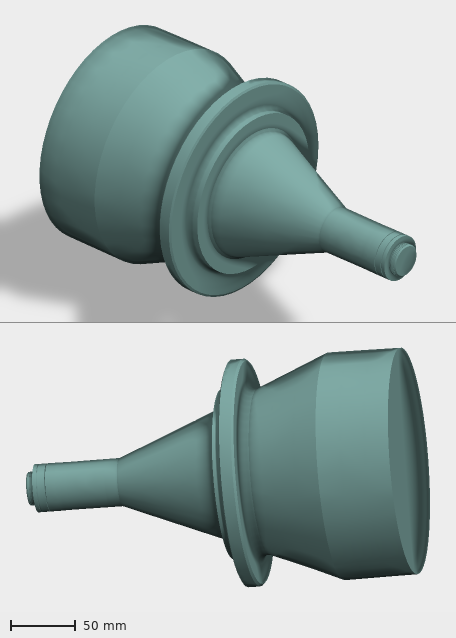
import cadquery as cq


total_length = 298.6
flange_diameter = 176.5
flange_radius = flange_diameter / 2

drum_end_radius = 87.8
drum_length = 56.7
neck_start_x = 113.8
neck_radius = 64.5

flange_back_x = 121.5
flange_front_x = 133.5
flange_chamfer = 1.8
front_chamfer_length = 1.0
rear_fillet_radius = 6.0
front_fillet_radius = 3.5
hub_end_x = 142.5
hub_radius = 66.0

cone_foot_radius = 53.8
cone_start_x = 144.2
cone_start_radius = 51.7
shaft_start_x = 226.0
shaft_diameter = 37.3
shaft_radius = shaft_diameter / 2
land_end_x = 236.0
waist_x = 265.8
waist_radius = 18.5
insulator_end_x = 274.8

ring_end_x = 282.5

ring_gap = 0.5
collar_groove_x = 288.8
collar_groove_width = 1.0
collar_groove_depth = 0.5
collar_end_x = 292.7

plug_radius = 13.0
plug_chamfer = 1.0
plug_groove_lead = 0.5
plug_groove_count = 4
plug_groove_pitch = 1.2
plug_groove_width = 0.5
plug_groove_depth = 0.5


def round_bar(start_x, end_x, radius):
    """Plain cylinder on the X axis between two stations."""
    return cq.Workplane("YZ", origin=(start_x, 0, 0)).circle(radius).extrude(end_x - start_x)


def ring_groove(start_x, width, depth, outer_radius):
    """Ring-shaped cutter for a square groove in a round surface."""
    cutter = cq.Workplane("YZ", origin=(start_x, 0, 0))
    return cutter.circle(2 * outer_radius).circle(outer_radius - depth).extrude(width)


def make_insulator():
    """Drum, cones, filleted flange and shaft as one moulded body."""
    rear_centre_x = flange_back_x - rear_fillet_radius
    front_centre_x = flange_front_x + front_fillet_radius
    profile = (
        cq.Workplane("XY")
        .lineTo(0, drum_end_radius)
        .lineTo(drum_length, flange_radius)
        .lineTo(neck_start_x, neck_radius)
        .lineTo(rear_centre_x, neck_radius)
        .radiusArc((flange_back_x, neck_radius + rear_fillet_radius), -rear_fillet_radius)
        .lineTo(flange_back_x, flange_radius - flange_chamfer)
        .lineTo(flange_back_x + flange_chamfer, flange_radius)
        .lineTo(flange_front_x - front_chamfer_length, flange_radius)
        .lineTo(flange_front_x, flange_radius - flange_chamfer)
        .lineTo(flange_front_x, hub_radius + front_fillet_radius)
        .radiusArc((front_centre_x, hub_radius), -front_fillet_radius)
        .lineTo(hub_end_x, hub_radius)
        .lineTo(hub_end_x, cone_foot_radius)
        .lineTo(cone_start_x, cone_start_radius)
        .lineTo(shaft_start_x, shaft_radius)
        .lineTo(land_end_x, shaft_radius)
        .lineTo(waist_x, waist_radius)
        .lineTo(insulator_end_x, shaft_radius)
        .lineTo(insulator_end_x, 0)
    )
    return profile.close().revolve(360, (0, 0, 0), (1, 0, 0))


def make_end_ring():
    """Plain round end piece, flush with the shaft it sits against."""
    return round_bar(insulator_end_x, ring_end_x, shaft_radius)


def make_collar():
    """Round collar with one groove near its free end."""
    blank = round_bar(ring_end_x + ring_gap, collar_end_x, shaft_radius)
    return blank.cut(ring_groove(collar_groove_x, collar_groove_width, collar_groove_depth, shaft_radius))


def make_plug():
    """Chamfered plug with evenly spaced grooves."""
    plug = round_bar(collar_end_x, total_length, plug_radius)
    plug = plug.faces(">X").chamfer(plug_chamfer)
    for i in range(plug_groove_count):
        groove_x = collar_end_x + plug_groove_lead + i * plug_groove_pitch
        plug = plug.cut(ring_groove(groove_x, plug_groove_width, plug_groove_depth, plug_radius))
    return plug


insulator = make_insulator()
end_ring = make_end_ring()
collar = make_collar()
plug = make_plug()

result = cq.Compound.makeCompound([insulator.val(), end_ring.val(), collar.val(), plug.val()])